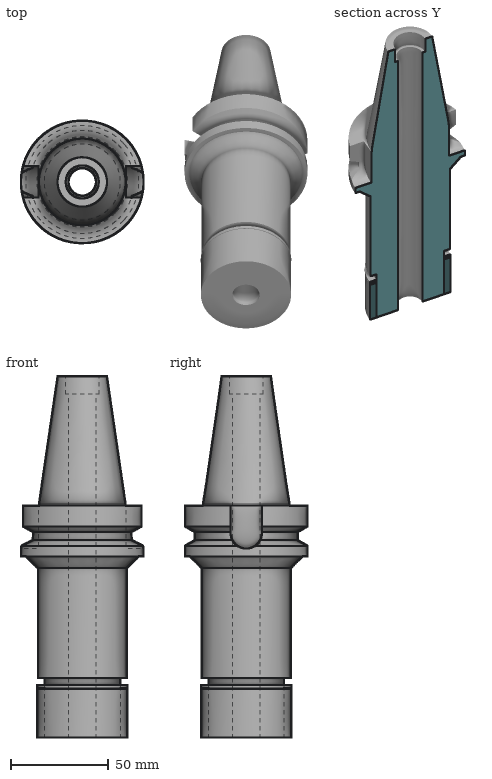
import cadquery as cq
import math


gauge_radius = 44.45 / 2
taper_length = 65.4
taper_ratio = 7 / 24
tip_radius = gauge_radius - taper_length * taper_ratio / 2

flange_radius = 63 / 2
flange_top_z = -1.0
flange_bottom_z = -27.0
groove_center_z = -16.6
groove_width = 10.0
groove_floor_radius = 26.5
groove_flank_angle = math.radians(30)
groove_flank_height = (flange_radius - groove_floor_radius) * math.tan(groove_flank_angle)
groove_top_z = groove_center_z + groove_width / 2
groove_bottom_z = groove_center_z - groove_width / 2

slot_width = 16.1
slot_bottom_z = -23.0
slot_floor_x = 22.5

body_radius = 22.85
transition_height = 6.0
transition_radius = 29.0
body_bottom_z = -89.5

spigot_radius = 19.5
holder_bottom_z = -120.0

bore_radius = 7.0
counterbore_radius = 8.5
counterbore_depth = 9.0

collar_radius = 23.25
collar_top_z = -93.0
collar_bottom_z = -94.7

nut_radius = 23.15
nut_top_z = -95.0


def make_flange_slots():
    """Cutters for both drive slots: round-bottomed and open at the flange top."""
    half_width = slot_width / 2
    arc_center_z = slot_bottom_z + half_width
    profile = (
        cq.Workplane("YZ")
        .moveTo(-half_width, 0)
        .lineTo(-half_width, arc_center_z)
        .threePointArc((0, slot_bottom_z), (half_width, arc_center_z))
        .lineTo(half_width, 0)
        .close()
        .extrude(flange_radius - slot_floor_x)
    )
    slot = profile.translate((slot_floor_x, 0, 0))
    return slot.union(slot.mirror("YZ"))


def make_holder():
    """Taper shank, grooved flange, body and spigot, bored through on the axis."""
    turned = (
        cq.Workplane("XZ")
        .moveTo(0, taper_length)
        .lineTo(tip_radius, taper_length)
        .lineTo(gauge_radius, 0)
        .lineTo(gauge_radius, flange_top_z)
        .lineTo(flange_radius, flange_top_z)
        .lineTo(flange_radius, groove_top_z)
        .lineTo(groove_floor_radius, groove_top_z - groove_flank_height)
        .lineTo(groove_floor_radius, groove_bottom_z + groove_flank_height)
        .lineTo(flange_radius, groove_bottom_z)
        .lineTo(flange_radius, flange_bottom_z)
        .lineTo(transition_radius, flange_bottom_z)
        .lineTo(body_radius, flange_bottom_z - transition_height)
        .lineTo(body_radius, body_bottom_z)
        .lineTo(spigot_radius, body_bottom_z)
        .lineTo(spigot_radius, holder_bottom_z)
        .lineTo(0, holder_bottom_z)
        .close()
        .revolve(360, (0, 0, 0), (0, 1, 0))
    )
    bore = (
        cq.Workplane("XY", origin=(0, 0, holder_bottom_z))
        .circle(bore_radius)
        .extrude(taper_length - holder_bottom_z)
    )
    counterbore = (
        cq.Workplane("XY", origin=(0, 0, taper_length))
        .circle(counterbore_radius)
        .extrude(-counterbore_depth)
    )
    return turned.cut(make_flange_slots()).cut(bore).cut(counterbore)


def make_sleeve(outer_radius, top_z, bottom_z):
    """Ring that fits closely around the spigot."""
    return (
        cq.Workplane("XY", origin=(0, 0, bottom_z))
        .circle(outer_radius)
        .circle(spigot_radius)
        .extrude(top_z - bottom_z)
    )


def make_collar():
    """Thin ring just above the nut."""
    return make_sleeve(collar_radius, collar_top_z, collar_bottom_z)


def make_nut():
    """Plain sleeve around the spigot, flush with its lower end."""
    return make_sleeve(nut_radius, nut_top_z, holder_bottom_z)


holder = make_holder()
collar = make_collar()
nut = make_nut()

result = cq.Compound.makeCompound([holder.val(), collar.val(), nut.val()])